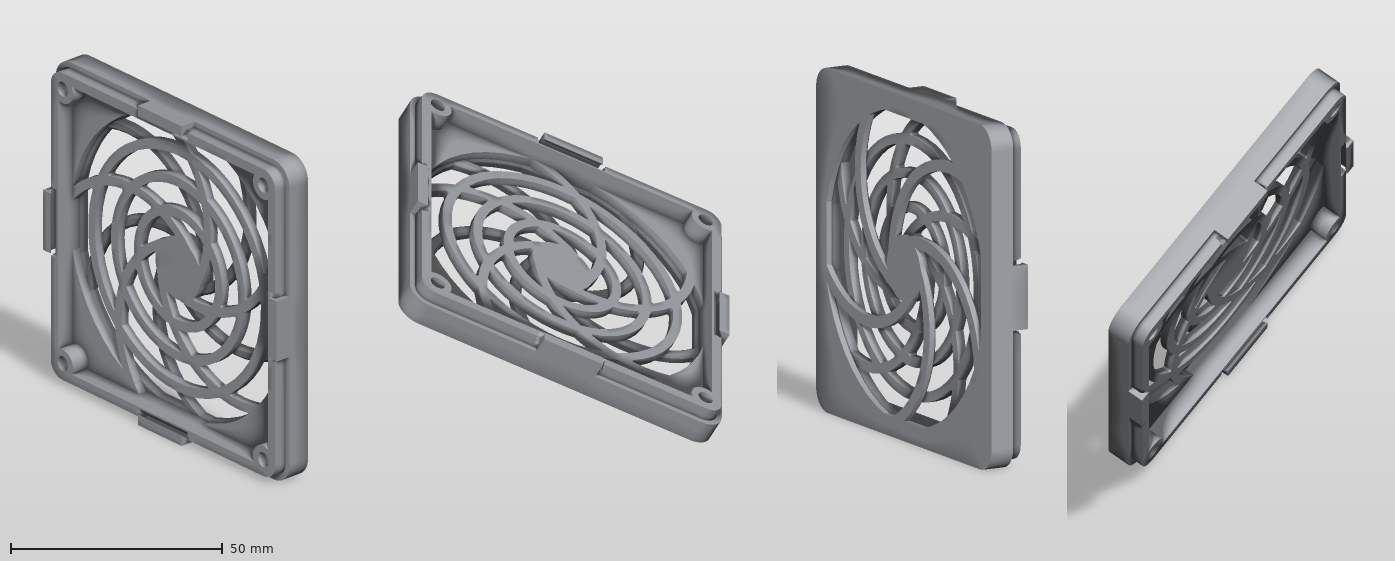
import cadquery as cq
import math


COVER_SIZE = 83.3
COVER_DEPTH = 5.9
COVER_WALL = 1.4
COVER_PLATE = 2.0
COVER_CORNER = 5.5
COVER_OPENING_RADIUS = 37.9
COVER_OPENING_WIDTH = 73.5
COVER_CHAMFER = 0.6

CLIP_WIDTH = 15.6
CLIP_DEPTH = 9.9
CLIP_HOOK = 1.35

FIT_GAP = 0.25
BASE_SIZE = COVER_SIZE - 2 * (COVER_WALL + FIT_GAP)
BASE_FRONT = 8.9
BASE_WALL = 2.5
BASE_FLOOR = 2.2
BASE_CORNER = COVER_CORNER - COVER_WALL
BASE_OPENING_RADIUS = 38.4
BASE_INSIDE = BASE_SIZE - 2 * BASE_WALL
CORNER_WINDOW_LEFT = -15.5
CORNER_WINDOW_HEIGHT = 2.5

NOTCH_WIDTH = CLIP_WIDTH + 2.0
NOTCH_DEPTH = 2.05
NOTCH_LEAD_WIDTH = NOTCH_WIDTH + 0.5
NOTCH_LEAD_DEPTH = 0.8

SCREW_PITCH = 71.5
SCREW_HOLE_DIAMETER = 3.8
BOSS_RADIUS = 3.65

ARM_COUNT = 5
ARM_PITCH = 360 / ARM_COUNT
HUB_RADIUS = 8.0
BASE_ARM_WIDTH = 2.4
BASE_ARM_ARC_RADIUS = 27.8
BASE_ARM_CENTRE_RADIUS = 21.4
BASE_ARM_CENTRE_ANGLE = 143.8
COVER_ARM_WIDTH = 2.8
COVER_ARM_ARC_RADIUS = 26.8
COVER_ARM_CENTRE_RADIUS = 20.9
COVER_ARM_CENTRE_ANGLE = 175.6
RING_WIDTH = 2.4
RING_PITCH = 8.15
RING_COUNT = 3
INNER_RING_RADIUS = 14.5
WINDOW_CORNER = 0.4


def at_depth(depth):
    """Workplane at a depth from the cover's outer face, extruding toward -Y; local x, y are X, Z."""
    return cq.Workplane("XZ", origin=(0, -depth, 0))


def rounded_block(size, corner, start, end):
    block = at_depth(start).rect(size, size).extrude(end - start)
    return block.edges("|Y").fillet(corner)


def opening(radius, width, start, end):
    """Round opening cut off by four flats."""
    disc = at_depth(start).circle(radius).extrude(end - start)
    return disc.intersect(at_depth(start).rect(width, width).extrude(end - start))


def ring(radius, width, start, end):
    return (
        at_depth(start)
        .circle(radius + width / 2)
        .circle(radius - width / 2)
        .extrude(end - start)
    )


def on_four_sides(body):
    """Copies of a body made for the +Z side, turned to all four sides."""
    return [body.rotate((0, 0, 0), (0, 1, 0), 90 * turn) for turn in range(4)]


def spiral_arms(band, centre_radius, centre_angle):
    """Copies of a round band about +Y, moved so that each one's leading half is an arm from the hub."""
    reach = 4 * centre_radius
    leading_half = cq.Workplane("XY").box(2 * reach, reach, reach).translate((0, 0, -reach / 2))
    arm = band.translate((centre_radius, 0, 0)).intersect(leading_half)
    angles = [centre_angle + index * ARM_PITCH for index in range(ARM_COUNT)]
    return [arm.rotate((0, 0, 0), (0, -1, 0), angle) for angle in angles]


def corner_window(start, end):
    """Extra space that carries one lower window past the round opening to the wall."""
    bottom = -BASE_INSIDE / 2
    return (
        at_depth(start)
        .moveTo(CORNER_WINDOW_LEFT, bottom)
        .lineTo(0, bottom)
        .lineTo(0, bottom + CORNER_WINDOW_HEIGHT)
        .lineTo(CORNER_WINDOW_LEFT, bottom + CORNER_WINDOW_HEIGHT)
        .close()
        .extrude(end - start)
    )


def is_inner_corner(edge):
    """True for window corners away from the round opening's edge."""
    middle = edge.Center()
    return math.hypot(middle.x, middle.z) < BASE_OPENING_RADIUS - BASE_ARM_WIDTH


def slope_cutter(width, depth):
    """45 degree cut along the base's top front edge."""
    half = BASE_SIZE / 2
    return (
        cq.Workplane("YZ", origin=(-width / 2, 0, 0))
        .moveTo(-BASE_FRONT, half)
        .lineTo(-BASE_FRONT + depth, half)
        .lineTo(-BASE_FRONT, half - depth)
        .close()
        .extrude(width)
    )


def make_base():
    start = COVER_PLATE
    floor_top = start + BASE_FLOOR
    base = rounded_block(BASE_SIZE, BASE_CORNER, start, BASE_FRONT)
    base = base.cut(at_depth(floor_top).rect(BASE_INSIDE, BASE_INSIDE).extrude(BASE_FRONT))

    spaces = opening(BASE_OPENING_RADIUS, BASE_INSIDE, start, floor_top)
    spaces = spaces.cut(at_depth(start).circle(HUB_RADIUS).extrude(BASE_FLOOR))
    spaces = spaces.union(corner_window(start, floor_top))
    for index in range(RING_COUNT):
        radius = INNER_RING_RADIUS + index * RING_PITCH
        spaces = spaces.cut(ring(radius, RING_WIDTH, start, floor_top))
    band = ring(BASE_ARM_ARC_RADIUS, BASE_ARM_WIDTH, start, floor_top)
    for arm in spiral_arms(band, BASE_ARM_CENTRE_RADIUS, BASE_ARM_CENTRE_ANGLE):
        spaces = spaces.cut(arm)
    spaces = spaces.edges("|Y").filter(is_inner_corner).fillet(WINDOW_CORNER)
    base = base.cut(spaces)

    screws = at_depth(start).rect(SCREW_PITCH, SCREW_PITCH, forConstruction=True).vertices()
    bosses = screws.circle(BOSS_RADIUS).extrude(BASE_FRONT - start)
    outline = rounded_block(BASE_SIZE, BASE_CORNER, start, BASE_FRONT)
    base = base.union(bosses.intersect(outline))
    base = base.cut(screws.circle(SCREW_HOLE_DIAMETER / 2).extrude(BASE_FRONT - start))

    notch = slope_cutter(NOTCH_WIDTH, NOTCH_DEPTH)
    notch = notch.union(slope_cutter(NOTCH_LEAD_WIDTH, NOTCH_LEAD_DEPTH))
    for copy in on_four_sides(notch):
        base = base.cut(copy)
    return base


def flared_opening():
    """The cover's opening, widened at 45 degrees where it meets the base."""
    flare_start = COVER_PLATE - COVER_CHAMFER
    cone = at_depth(flare_start).circle(COVER_OPENING_RADIUS).extrude(COVER_CHAMFER, taper=-45)
    pyramid = at_depth(flare_start).rect(COVER_OPENING_WIDTH, COVER_OPENING_WIDTH)
    pyramid = pyramid.extrude(COVER_CHAMFER, taper=-45)
    straight = opening(COVER_OPENING_RADIUS, COVER_OPENING_WIDTH, 0, flare_start)
    return straight.union(cone.intersect(pyramid))


def make_cover():
    cover = rounded_block(COVER_SIZE, COVER_CORNER, 0, COVER_DEPTH)
    inside = COVER_SIZE - 2 * COVER_WALL
    cover = cover.cut(rounded_block(inside, BASE_CORNER, COVER_PLATE, COVER_DEPTH))

    spaces = flared_opening()
    spaces = spaces.cut(at_depth(0).circle(HUB_RADIUS).extrude(COVER_PLATE))
    band = ring(COVER_ARM_ARC_RADIUS, COVER_ARM_WIDTH, 0, COVER_PLATE)
    band = band.faces("<Y").chamfer(COVER_CHAMFER)
    for arm in spiral_arms(band, COVER_ARM_CENTRE_RADIUS, COVER_ARM_CENTRE_ANGLE):
        spaces = spaces.cut(arm)
    cover = cover.cut(spaces)

    outer = COVER_SIZE / 2
    inner = outer - COVER_WALL
    clip = (
        cq.Workplane("YZ", origin=(-CLIP_WIDTH / 2, 0, 0))
        .moveTo(-COVER_DEPTH, outer)
        .lineTo(-CLIP_DEPTH, outer)
        .lineTo(-CLIP_DEPTH, inner - CLIP_HOOK)
        .lineTo(-CLIP_DEPTH + CLIP_HOOK, inner)
        .lineTo(-COVER_DEPTH, inner)
        .close()
        .extrude(CLIP_WIDTH)
    )
    for copy in on_four_sides(clip):
        cover = cover.union(copy)
    return cover


base = make_base()
cover = make_cover()

result = cq.Compound.makeCompound([base.val(), cover.val()])